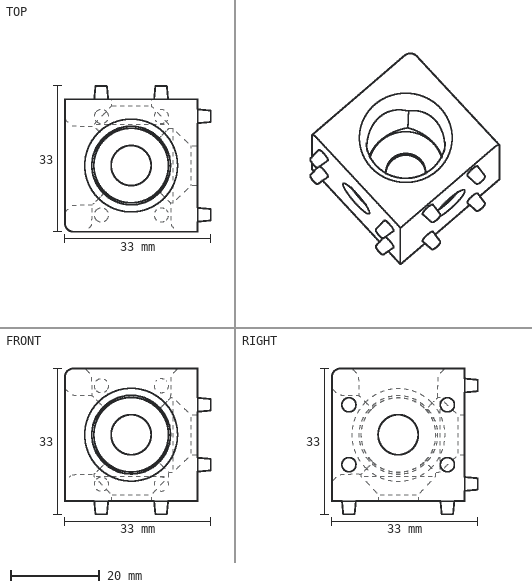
import cadquery as cq
import math

overall = 33.0
peg_length = 3.0
cube = overall - peg_length
half = cube / 2
edge_radius = 2.0

entry_diameter = 21.0
bore_diameter = 18.0
throat_round = 1.0
mouth_offset = 9.37
mouth_diameter = 16.83
outlet_diameter = 9.0
outlet_length = 1.5

peg_base_diameter = 3.2
peg_tip_diameter = 2.65
peg_tip_round = 0.3
peg_narrow_offset = 6.75
peg_wide_offset = 11.12


def passage():
    """Solid filling the passage along +Z, entry at the bottom face, outlet at the top face."""
    chamfer_angle = math.pi / 4
    bore_radius = bore_diameter / 2
    chamfer_depth = entry_diameter / 2 - bore_radius
    bore_start = -half + chamfer_depth + throat_round * math.tan(chamfer_angle / 2)
    arc_centre = bore_radius + throat_round

    def throat_point(angle):
        """Radius and height on the rounding, where the wall leans out by the angle."""
        return (arc_centre - throat_round * math.cos(angle),
                bore_start - throat_round * math.sin(angle))

    return (
        cq.Workplane("XZ")
        .moveTo(0, -half)
        .lineTo(entry_diameter / 2, -half)
        .lineTo(*throat_point(chamfer_angle))
        .threePointArc(throat_point(chamfer_angle / 2), throat_point(0))
        .lineTo(mouth_diameter / 2, mouth_offset)
        .lineTo(outlet_diameter / 2, half - outlet_length)
        .lineTo(outlet_diameter / 2, half)
        .lineTo(0, half)
        .close()
        .revolve(360, (0, 0), (0, 1))
    )


def pegs():
    """Four tapered pegs standing on the top face of the cube."""
    taper = math.degrees(math.atan((peg_base_diameter - peg_tip_diameter) / 2 / peg_length))
    return (
        cq.Workplane("XY", origin=(0, 0, half))
        .rect(2 * peg_narrow_offset, 2 * peg_wide_offset, forConstruction=True)
        .vertices()
        .circle(peg_base_diameter / 2)
        .extrude(peg_length, taper=taper)
        .faces(">Z")
        .edges()
        .fillet(peg_tip_round)
    )


def toward_plus_x(shape):
    return shape.rotate((0, 0, 0), (0, 1, 0), 90)


def toward_plus_y(shape):
    return shape.rotate((0, 0, 0), (1, 0, 0), -90)


def toward_minus_z(shape):
    return shape.rotate((0, 0, 0), (1, 0, 0), 180)


result = (
    cq.Workplane("XY")
    .box(cube, cube, cube)
    .edges("(<X and <Y) or (<X and >Z) or (<Y and >Z)")
    .fillet(edge_radius)
)

for turn in (toward_plus_x, toward_plus_y, toward_minus_z):
    result = result.cut(turn(passage()))
    result = result.union(turn(pegs()))